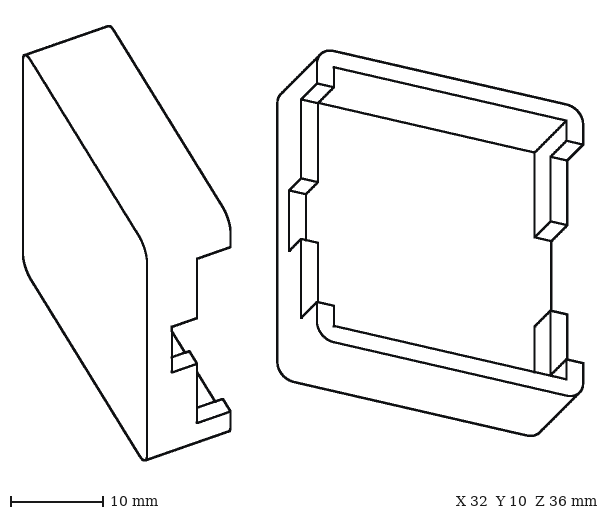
import cadquery as cq

width = 32.0
depth = 10.0
height = 36.0
wall = 2.0
corner_radius = 2.0

rim_recess_height = 27.0
rim_recess_depth = 4.0

left_slot_height = 11.0
left_slot_floor = wall
right_slot_height = 7.5
right_slot_floor = 3.0

front_y = -depth / 2
side_wall_x = (width - wall) / 2


def block_to_open_side(x_center, x_size, z_size, floor):
    """Block from `floor` above the closed face up to the open side."""
    y_size = depth - floor
    y_center = front_y + floor + y_size / 2
    return cq.Workplane("XY").box(x_size, y_size, z_size).translate((x_center, y_center, 0))


body = cq.Workplane("XY").box(width, depth, height).edges("|Y").fillet(corner_radius)

cavity = block_to_open_side(0, width - 2 * wall, height - 2 * wall, wall)

rim_recess = block_to_open_side(0, width, rim_recess_height, depth - rim_recess_depth)
left_slot = block_to_open_side(-side_wall_x, wall, left_slot_height, left_slot_floor)
right_slot = block_to_open_side(side_wall_x, wall, right_slot_height, right_slot_floor)

result = body.cut(cavity).cut(rim_recess).cut(left_slot).cut(right_slot)